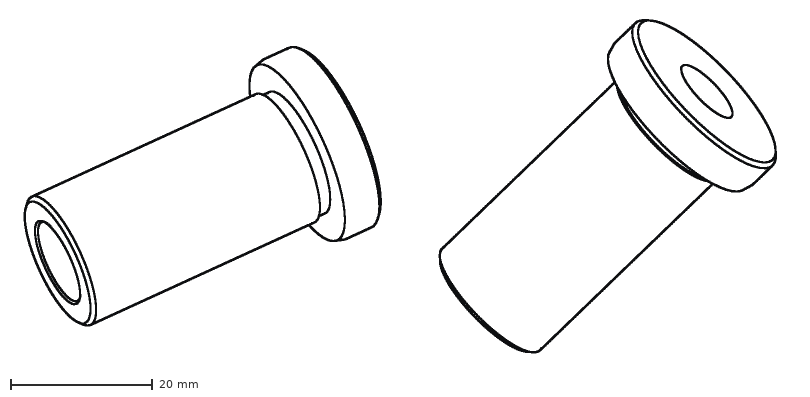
import cadquery as cq
import math

length = 45.0
head_radius = 28.0 / 2
head_thickness = 6.0
head_lead_length = 1.3
head_lead_depth = 0.35
edge_chamfer = 0.6

body_radius = 20.0 / 2
neck_radius = 18.9 / 2
neck_width = 2.0

bore_radius = 12.25 / 2
throat_radius = 10.0 / 2
mouth_chamfer = 0.3
shoulder_angle = 60.0

tip_y = 0.0
head_back_y = tip_y + length
head_front_y = head_back_y - head_thickness
neck_start_y = head_front_y - neck_width

shoulder_length = (bore_radius - throat_radius) / math.tan(math.radians(shoulder_angle))
shoulder_start_y = head_front_y - shoulder_length

half_section = [
    (bore_radius + mouth_chamfer, tip_y),
    (body_radius - edge_chamfer, tip_y),
    (body_radius, tip_y + edge_chamfer),
    (body_radius, neck_start_y),
    (neck_radius, neck_start_y),
    (neck_radius, head_front_y),
    (head_radius - head_lead_depth, head_front_y),
    (head_radius, head_front_y + head_lead_length),
    (head_radius, head_back_y - edge_chamfer),
    (head_radius - edge_chamfer, head_back_y),
    (throat_radius, head_back_y),
    (throat_radius, head_front_y),
    (bore_radius, shoulder_start_y),
    (bore_radius, tip_y + mouth_chamfer),
]

result = (
    cq.Workplane("XY")
    .polyline(half_section)
    .close()
    .revolve(360, (0, 0, 0), (0, 1, 0))
)